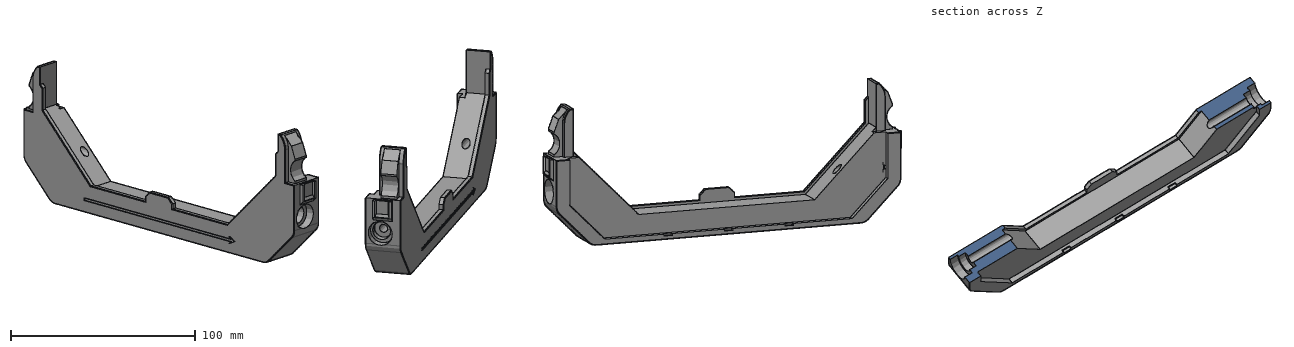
import cadquery as cq
import math

thickness = 20.0
half_length = 100.0
height = 75.5
shoulder_height = 49.0
edge_bevel = 0.5

front_y = -thickness / 2
back_y = thickness / 2

corner_cut = 20.6
corner_radius = 6.1

lip_thickness = 2.7
lip_height = 16.0
lip_half_flat = 50.4
lip_rise = 1.5
lip_back_y = front_y + lip_thickness
floor_height = lip_height - lip_rise
floor_half_flat = lip_half_flat + lip_rise * math.tan(math.pi / 8)

tab_half_width = 10.0
tab_height = 21.8
tab_corner = 3.0

post_outer_x = 93.2
post_inner_x = 87.7
post_tip_x = 89.8
post_tip_radius = 10.2
tip_cut_z = height - (post_outer_x - post_tip_x)
post_depth = 13.9
post_overlap = 2.0
post_back_y = front_y + post_depth
rib_inner_x = 85.9
rib_top = 63.9

hook_width = 9.0
hook_shoulder_x = 95.5
hook_nose_x = 98.1
hook_nose_z = 62.8
hook_notch_radius = 6.7
hook_notch_x = 101.5
hook_notch_z = 56.0

pad_projection = 2.0
pad_overlap = 1.0
pad_half_width = 5.3
pad_bottom = 36.7
pad_top = 48.3
pad_recess_depth = 0.8
pad_recess_half_width = 4.0
pad_recess_bottom = 39.2
pad_recess_side_bevel = 0.8
pad_recess_foot_bevel = 1.6

bore_offset_y = 1.5
hole_offset_y = 2.0
bore_z = 29.4
bore_diameter = 13.5
bore_depth = 4.9
seat_diameter = 10.0
seat_depth = 9.2
hole_diameter = 4.5

recess_depth = 3.0
recess_half_length = 92.2
recess_half_flat = 71.6
recess_bottom = 3.0
recess_floor_y = back_y - recess_depth
notch_spacing = 35.0
notch_width = 4.7
notch_depth = 1.6
notch_drop = 1.0

arrow_tail_x = -55.0
arrow_tip_x = 55.9
arrow_z = 7.3
arrow_shaft_width = 1.5
arrow_head_length = 4.0
arrow_head_width = 4.0
arrow_barb_length = 1.2
arrow_depth = 0.6


def prism(points, y_start, y_end):
    """Extrude an XZ outline from y_start to y_end."""
    return cq.Workplane("XZ", origin=(0, y_start, 0)).polyline(points).close().extrude(y_start - y_end)


def mirrored_outline(right_half):
    """Close a right-hand run of points with its mirror image about X = 0."""
    left_half = [(-x, z) for x, z in reversed(right_half)]
    return right_half + left_half


def both_ends(solid):
    return solid.union(solid.mirror("YZ"))


def round_edge(solid, x, z, radius):
    """Round the edge that runs along Y at (x, z)."""
    reach = 0.2
    near_edge = cq.selectors.BoxSelector(
        (x - reach, -thickness, z - reach), (x + reach, thickness, z + reach)
    )
    return solid.edges(near_edge).fillet(radius)


def round_outer_corners(solid):
    """Round the edges at both ends of each 45 degree corner cut."""
    for side in (-1, 1):
        solid = round_edge(solid, side * half_length, corner_cut, corner_radius)
        solid = round_edge(solid, side * (half_length - corner_cut), 0, corner_radius)
    return solid


def slope_z(x, flat_height, half_flat):
    """Height of a 45 degree inner slope at distance x from the centre."""
    return flat_height + x - half_flat


outer_points = [(half_length - corner_cut, 0), (half_length, corner_cut), (half_length, shoulder_height)]


def make_front_plate():
    step = post_inner_x - rib_inner_x
    points = outer_points + [
        (post_outer_x, shoulder_height),
        (post_outer_x, tip_cut_z),
        (post_tip_x, height),
        (post_inner_x, height),
        (post_inner_x, rib_top + step),
        (rib_inner_x, rib_top),
        (rib_inner_x, slope_z(rib_inner_x, lip_height, lip_half_flat)),
        (lip_half_flat, lip_height),
        (tab_half_width, lip_height),
        (tab_half_width, tab_height - tab_corner),
        (tab_half_width - tab_corner, tab_height),
    ]
    plate = round_outer_corners(prism(mirrored_outline(points), front_y, lip_back_y))
    for side in (-1, 1):
        plate = round_edge(plate, side * post_outer_x, tip_cut_z, post_tip_radius)
    return plate.faces("<Y").chamfer(edge_bevel)


def make_body():
    floor_end_x = floor_half_flat + shoulder_height - floor_height
    points = outer_points + [(floor_end_x, shoulder_height), (floor_half_flat, floor_height)]
    body = round_outer_corners(prism(mirrored_outline(points), lip_back_y, back_y))
    return body.faces(">Y").chamfer(edge_bevel)


def make_posts():
    base_z = shoulder_height - post_overlap
    points = [
        (post_outer_x, base_z),
        (post_outer_x, tip_cut_z),
        (post_tip_x, height),
        (post_inner_x, height),
        (post_inner_x, base_z),
    ]
    post = prism(points, lip_back_y, post_back_y)
    post = round_edge(post, post_outer_x, tip_cut_z, post_tip_radius)
    post = post.faces(">Y").chamfer(edge_bevel)
    wedge_points = [
        (post_inner_x, base_z),
        (post_inner_x, slope_z(post_inner_x, floor_height, floor_half_flat)),
        (floor_half_flat + base_z - floor_height, base_z),
    ]
    return both_ends(post.union(prism(wedge_points, lip_back_y, post_back_y)))


def make_hooks():
    notch_reach = math.sqrt(hook_notch_radius**2 - (hook_notch_x - hook_nose_x) ** 2)
    notch_deepest = (hook_notch_x - hook_notch_radius, hook_notch_z)
    root_x = (post_inner_x + post_outer_x) / 2
    profile = (
        cq.Workplane("XZ", origin=(0, lip_back_y, 0))
        .moveTo(root_x, shoulder_height)
        .lineTo(hook_nose_x, shoulder_height)
        .lineTo(hook_nose_x, hook_notch_z - notch_reach)
        .threePointArc(notch_deepest, (hook_nose_x, hook_notch_z + notch_reach))
        .lineTo(hook_nose_x, hook_nose_z)
        .lineTo(hook_shoulder_x, height - (hook_shoulder_x - post_tip_x))
        .lineTo(root_x, height - (root_x - post_tip_x))
        .close()
    )
    return both_ends(profile.extrude(-hook_width))


def make_pads():
    face_x = half_length + pad_projection
    pad_root_x = half_length - pad_overlap
    points = [
        (pad_root_x, pad_bottom),
        (half_length, pad_bottom),
        (face_x, pad_bottom + pad_projection),
        (face_x, pad_top),
        (pad_root_x, pad_top),
    ]
    pad = prism(points, -pad_half_width, pad_half_width)
    recess_height = 2 * (pad_top - pad_recess_bottom)
    taper = math.degrees(math.atan2(pad_recess_side_bevel, pad_recess_depth))
    recess = (
        cq.Workplane("YZ", origin=(face_x, 0, pad_recess_bottom + recess_height / 2))
        .rect(2 * pad_recess_half_width, recess_height)
        .extrude(-pad_recess_depth, taper=taper)
    )
    recess_floor_x = face_x - pad_recess_depth
    side_points = [
        (face_x, pad_recess_bottom),
        (face_x, height),
        (recess_floor_x, height),
        (recess_floor_x, pad_recess_bottom + pad_recess_foot_bevel),
    ]
    recess = recess.intersect(prism(side_points, -pad_half_width, pad_half_width))
    return both_ends(pad.cut(recess))


def make_bore():
    """Stepped bore in the left end, coming out through the inner slope."""
    def drill(diameter, offset_y, depth):
        start = (-half_length, offset_y, bore_z)
        return cq.Workplane("YZ", origin=start).circle(diameter / 2).extrude(depth)

    mouth = drill(bore_diameter, bore_offset_y, bore_depth)
    seat = drill(seat_diameter, hole_offset_y, seat_depth)
    hole = drill(hole_diameter, hole_offset_y, half_length)
    return mouth.union(seat).union(hole)


def make_cover_recess():
    points = [
        (recess_half_flat, recess_bottom),
        (recess_half_length, recess_bottom + recess_half_length - recess_half_flat),
        (recess_half_length, height),
    ]
    recess = prism(mirrored_outline(points), recess_floor_y, back_y)
    for x in (-notch_spacing, 0, notch_spacing):
        notch = cq.Workplane("XY").box(notch_width, notch_depth, 2 * notch_drop)
        recess = recess.union(notch.translate((x, back_y - notch_depth / 2, recess_bottom)))
    return recess


def make_arrow():
    head_x = arrow_tip_x - arrow_head_length
    upper = [
        (arrow_tail_x, arrow_shaft_width / 2),
        (head_x + arrow_barb_length, arrow_shaft_width / 2),
        (head_x, arrow_head_width / 2),
    ]
    lower = [(x, -z) for x, z in reversed(upper)]
    points = [(x, arrow_z + z) for x, z in upper + [(arrow_tip_x, 0)] + lower]
    return prism(points, front_y, front_y + arrow_depth)


result = make_body().cut(make_cover_recess())
result = result.union(make_front_plate()).union(make_posts()).union(make_hooks()).union(make_pads())

for turn in (0, 180):
    result = result.cut(make_bore().rotate((0, 0, 0), (0, 0, 1), turn))
result = result.cut(make_arrow())